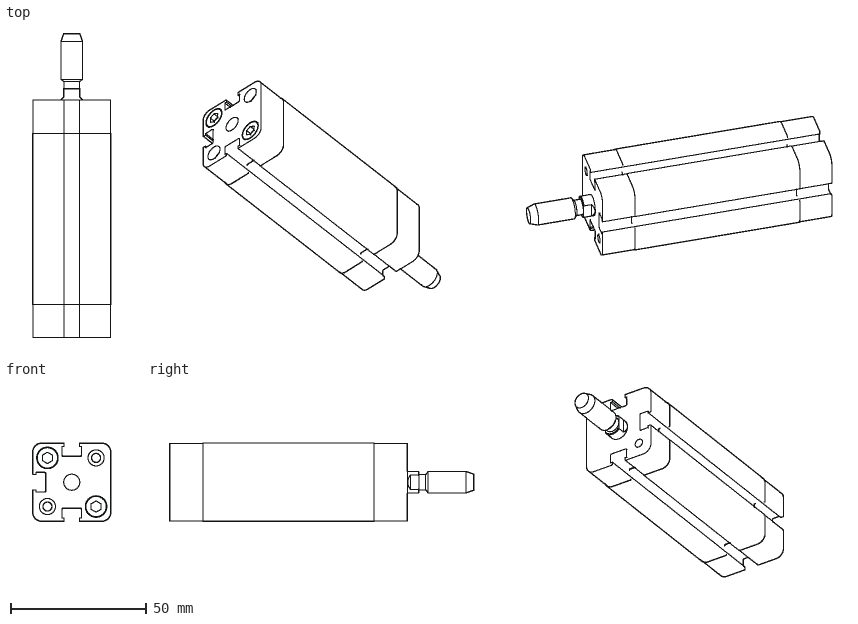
import cadquery as cq
side = 29.0
corner_radius = 3.4
overall_length = 112.5
rod_length = 24.5
body_length = overall_length - rod_length
front_y = -overall_length / 2
body_end_y = front_y + body_length
cap_length = 12.4
cap_inset = 0.1

slot_angles = (0, 180, -90)
slot_opening = 5.6
slot_width = 7.2
slot_lip = 1.4
cap_slot_depth = 5.1
barrel_slot_depth = 4.8
lip_edge_radius = 0.3
slot_floor_radius = 0.5

fixing_offset = 9.0
through_hole_diameter = 3.3
counterbore_diameter = 6.0
counterbore_depth = 3.6
screw_recess_diameter = 8.0
screw_head_diameter = 7.5
screw_head_height = 4.0
socket_across_corners = 4.2
socket_depth = 2.1
socket_turn = 30
centre_hole_diameter = 6.0
centre_hole_depth = 9.0

rod_diameter = 8.0
flat_width = 6.0
neck_diameter = 5.8
tip_diameter = 6.1
tip_length = 2.8
thread_length = 14.1
thread_run_out = 0.9
collar_length = 4.3
collar_chamfer = 0.2
flat_length = 3.2


def cylinder(diameter, start_y, length, x=0, z=0):
    """Cylinder along +Y from start_y."""
    return cq.Workplane("XY").add(
        cq.Solid.makeCylinder(diameter / 2, length, cq.Vector(x, start_y, z), cq.Vector(0, 1, 0))
    )


def make_slot(width, depth, length):
    """T-slot cutter for the top side of a section, centred on the origin."""
    top = width / 2
    floor_z = side / 2 - depth
    lip_z = side / 2 - slot_lip
    mouth = slot_opening / 2 + lip_edge_radius
    channel = (
        cq.Workplane("XY")
        .box(slot_width, length, lip_z - floor_z)
        .edges("|Y and <Z")
        .fillet(slot_floor_radius)
        .translate((0, 0, (lip_z + floor_z) / 2))
    )
    opening = (
        cq.Workplane("XZ")
        .moveTo(-slot_opening / 2, floor_z)
        .lineTo(slot_opening / 2, floor_z)
        .lineTo(slot_opening / 2, top - lip_edge_radius)
        .radiusArc((mouth, top), lip_edge_radius)
        .lineTo(-mouth, top)
        .radiusArc((-slot_opening / 2, top - lip_edge_radius), lip_edge_radius)
        .close()
        .extrude(length / 2, both=True)
    )
    return channel.union(opening)


def make_section(width, slot_depth, start_y, length):
    """Rounded square length of the body with its three T-slots."""
    section = cq.Workplane("XY").box(width, length, width).edges("|Y").fillet(corner_radius)
    slot = make_slot(width, slot_depth, length)
    for angle in slot_angles:
        section = section.cut(slot.rotate((0, 0, 0), (0, 1, 0), angle))
    return section.translate((0, start_y + length / 2, 0))


def make_through_hole(x, z):
    """Hole through the whole body, counterbored in the -Y face."""
    hole = cylinder(through_hole_diameter, front_y, body_length, x, z)
    return hole.union(cylinder(counterbore_diameter, front_y, counterbore_depth, x, z))


def make_screw_cut(x, z):
    """Ring gap around a flush screw head, with its hexagon socket."""
    gap = cylinder(screw_recess_diameter, front_y, screw_head_height, x, z).cut(
        cylinder(screw_head_diameter, front_y, screw_head_height, x, z)
    )
    socket = cq.Workplane("XZ").polygon(6, socket_across_corners).extrude(-socket_depth)
    socket = socket.rotate((0, 0, 0), (0, 1, 0), socket_turn).translate((x, front_y, z))
    return gap.union(socket)


def make_rod():
    """Stepped rod with a collar that carries two wrench flats on its X sides."""
    collar_end = body_end_y + collar_length
    tip_y = overall_length / 2
    thread_end = tip_y - tip_length
    thread_start = thread_end - thread_length
    rod = (
        cq.Workplane("XY")
        .moveTo(0, body_end_y)
        .lineTo(rod_diameter / 2, body_end_y)
        .lineTo(rod_diameter / 2, collar_end - collar_chamfer)
        .lineTo(rod_diameter / 2 - collar_chamfer, collar_end)
        .lineTo(neck_diameter / 2, collar_end)
        .lineTo(neck_diameter / 2, thread_start - thread_run_out)
        .lineTo(rod_diameter / 2, thread_start)
        .lineTo(rod_diameter / 2, thread_end)
        .lineTo(tip_diameter / 2, tip_y)
        .lineTo(0, tip_y)
        .close()
        .revolve(360, (0, 0, 0), (0, 1, 0))
    )
    flat_start = collar_end - flat_length
    flat_x = flat_width / 2
    outer_x = rod_diameter / 2
    flat_cut = (
        cq.Workplane("XY")
        .moveTo(flat_x, collar_end)
        .lineTo(flat_x, flat_start)
        .lineTo(outer_x, flat_start - (outer_x - flat_x))
        .lineTo(outer_x, collar_end)
        .close()
        .extrude(outer_x, both=True)
    )
    return rod.cut(flat_cut).cut(flat_cut.mirror("YZ"))


barrel_length = body_length - 2 * cap_length
part = make_section(side, barrel_slot_depth, front_y + cap_length, barrel_length)
for cap_start in (front_y, body_end_y - cap_length):
    part = part.union(make_section(side - 2 * cap_inset, cap_slot_depth, cap_start, cap_length))
for sign in (-1, 1):
    part = part.cut(make_through_hole(sign * fixing_offset, sign * fixing_offset))
    part = part.cut(make_screw_cut(sign * fixing_offset, -sign * fixing_offset))
part = part.cut(cylinder(centre_hole_diameter, front_y, centre_hole_depth))
result = part.union(make_rod())